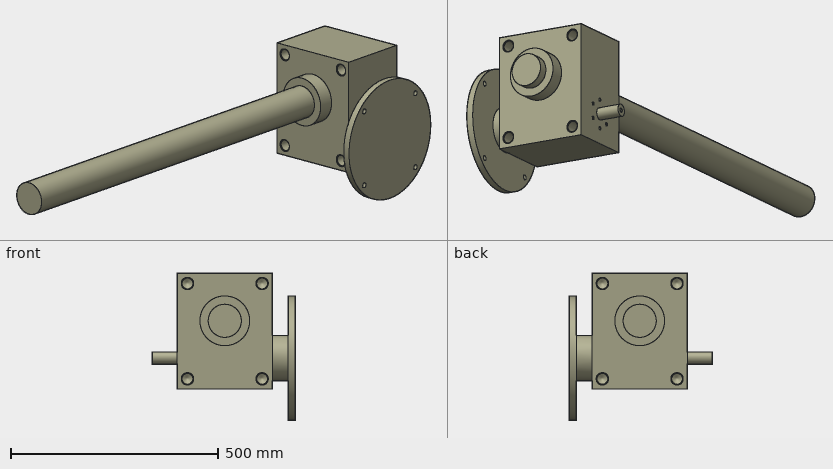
import cadquery as cq
import math

housing_width = 230.0
housing_depth = 176.0
housing_height = 280.0
housing_bottom = -75.0
housing_center_z = housing_bottom + housing_height / 2

collar_diameter = 120.0
collar_length = 40.0

screw_diameter = 80.0
screw_axis_z = 90.0
screw_length = 1281.0
screw_back_y = 153.0

corner_hole_diameter = 26.21
corner_mouth_diameter = 30.0
corner_hole_depth = 45.0
corner_hole_inset = 25.0
drill_tip_angle = 118.0

ring_hole_diameter = 6.65
ring_mouth_diameter = 8.0
ring_hole_depth = 20.0
ring_hole_count = 6
ring_diameter = 72.0

shaft_diameter = 30.0
shaft_projection = 60.0
shaft_seat_depth = 60.0
center_hole_diameter = 8.38
center_mouth_diameter = 10.0
center_hole_depth = 22.0

neck_diameter = 110.0
neck_length = 38.0
flange_diameter = 300.0
flange_thickness = 17.0
flange_hole_diameter = 12.0
flange_hole_circle = 265.0
flange_hole_count = 4

left_face = -housing_width / 2
right_face = housing_width / 2


def cylinder_x(diameter, x_start, length, y=0.0, z=0.0):
    """Cylinder along +X from x_start."""
    return cq.Workplane("YZ", origin=(x_start, y, z)).circle(diameter / 2).extrude(length)


def cylinder_y(diameter, y_start, length, z):
    """Cylinder along -Y from y_start."""
    return cq.Workplane("XZ", origin=(0, y_start, z)).circle(diameter / 2).extrude(length)


def ring_points(count, circle_diameter, first_angle):
    """Evenly spaced (Y, Z) positions on a circle around the worm shaft axis."""
    angles = [math.radians(first_angle + 360.0 * i / count) for i in range(count)]
    radius = circle_diameter / 2
    return [(radius * math.cos(a), radius * math.sin(a)) for a in angles]


def tapped_hole(diameter, mouth_diameter, depth, mouth, direction):
    """Blind hole volume with a 45 degree countersink and a conical drill tip, entering at mouth."""
    radius = diameter / 2
    mouth_radius = mouth_diameter / 2
    countersink_depth = mouth_radius - radius
    tip_length = radius / math.tan(math.radians(drill_tip_angle / 2))
    profile = (
        cq.Workplane("XY")
        .polyline(
            [
                (0, 0),
                (mouth_radius, 0),
                (radius, countersink_depth),
                (radius, depth),
                (0, depth + tip_length),
            ]
        )
        .close()
        .revolve(360, (0, 0), (0, 1))
    )
    turn = {"+Y": 0, "-Y": 180, "+X": -90}[direction]
    return profile.rotate((0, 0, 0), (0, 0, 1), turn).translate(mouth)


def make_housing():
    body = cq.Workplane("XY", origin=(0, 0, housing_center_z)).box(
        housing_width, housing_depth, housing_height
    )
    collar_end_y = housing_depth / 2 + collar_length
    body = body.union(cylinder_y(collar_diameter, collar_end_y, 2 * collar_end_y, screw_axis_z))
    body = body.cut(cylinder_y(screw_diameter, collar_end_y, 2 * collar_end_y, screw_axis_z))
    body = body.cut(cylinder_x(shaft_diameter, left_face, shaft_seat_depth))

    corner_x = housing_width / 2 - corner_hole_inset
    corner_z = housing_height / 2 - corner_hole_inset
    for x in (-corner_x, corner_x):
        for z in (housing_center_z - corner_z, housing_center_z + corner_z):
            for side, direction in ((-1, "+Y"), (1, "-Y")):
                mouth = (x, side * housing_depth / 2, z)
                hole = tapped_hole(
                    corner_hole_diameter, corner_mouth_diameter, corner_hole_depth, mouth, direction
                )
                body = body.cut(hole)

    for y, z in ring_points(ring_hole_count, ring_diameter, 90.0):
        mouth = (left_face, y, z)
        hole = tapped_hole(ring_hole_diameter, ring_mouth_diameter, ring_hole_depth, mouth, "+X")
        body = body.cut(hole)
    return body


def make_screw():
    return cylinder_y(screw_diameter, screw_back_y, screw_length, screw_axis_z)


def make_worm_shaft():
    shaft_end_x = left_face - shaft_projection
    body = cylinder_x(shaft_diameter, shaft_end_x, shaft_projection + shaft_seat_depth)
    center_hole = tapped_hole(
        center_hole_diameter, center_mouth_diameter, center_hole_depth, (shaft_end_x, 0, 0), "+X"
    )
    return body.cut(center_hole)


def make_motor_flange():
    disc_x = right_face + neck_length
    body = cylinder_x(neck_diameter, right_face, neck_length)
    body = body.union(cylinder_x(flange_diameter, disc_x, flange_thickness))
    for y, z in ring_points(flange_hole_count, flange_hole_circle, 45.0):
        body = body.cut(cylinder_x(flange_hole_diameter, disc_x, flange_thickness, y, z))
    return body


housing = make_housing()
screw = make_screw()
worm_shaft = make_worm_shaft()
motor_flange = make_motor_flange()

result = cq.Compound.makeCompound(
    [housing.val(), screw.val(), worm_shaft.val(), motor_flange.val()]
)